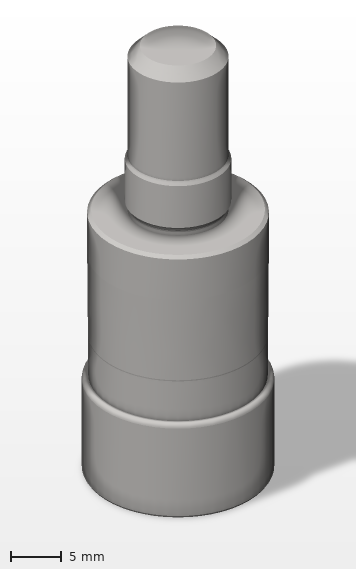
import cadquery as cq

overall_height = 49.0
cap_height = 10.9
step_bottom = 15.5
step_top = 15.65
taper_top = 25.0
sleeve_top = 30.0
neck_bottom = 30.35
neck_top = 30.5
neck_shoulder = 30.75
collar_bottom = 31.05
collar_top = 35.9

cap_diameter = 19.05
sleeve_diameter = 18.0
lower_sleeve_diameter = 17.8
taper_middle_diameter = 17.9
taper_end_diameter = 17.85
collar_diameter = 10.55
stud_diameter = 10.0
neck_diameter = 9.7

cap_radius = cap_diameter / 2
sleeve_radius = sleeve_diameter / 2
lower_sleeve_radius = lower_sleeve_diameter / 2
taper_middle_radius = taper_middle_diameter / 2
taper_end_radius = taper_end_diameter / 2
collar_radius = collar_diameter / 2
stud_radius = stud_diameter / 2
neck_radius = neck_diameter / 2
spindle_radius = stud_radius

cap_fillet = 0.5
base_chamfer_width = 0.15
base_chamfer_height = 0.25
sleeve_chamfer_width = 0.4
sleeve_chamfer_height = 0.3
collar_chamfer_height = 0.45
stud_chamfer = 1.22


def revolve_about_z(outline):
    """Turn a closed half-outline in the XZ plane a full circle about Z."""
    return outline.revolve(360, (0, 0, 0), (0, 1, 0))


def make_core():
    """Foot cap, spindle inside the sleeve, undercut neck, collar and stud in one piece."""
    outline = (
        cq.Workplane("XZ")
        .lineTo(cap_radius - base_chamfer_width, 0)
        .lineTo(cap_radius, base_chamfer_height)
        .lineTo(cap_radius, cap_height - cap_fillet)
        .radiusArc((cap_radius - cap_fillet, cap_height), -cap_fillet)
        .lineTo(spindle_radius, cap_height)
        .lineTo(spindle_radius, sleeve_top)
        .lineTo(neck_radius, neck_bottom)
        .lineTo(neck_radius, neck_top)
        .lineTo(stud_radius, neck_shoulder)
        .lineTo(collar_radius, collar_bottom)
        .lineTo(collar_radius, collar_top)
        .lineTo(stud_radius, collar_top + collar_chamfer_height)
        .lineTo(stud_radius, overall_height - stud_chamfer)
        .lineTo(stud_radius - stud_chamfer, overall_height)
        .lineTo(0, overall_height)
        .close()
    )
    return revolve_about_z(outline)


def make_sleeve():
    """Ring around the spindle, with a slight taper down to a narrower lower band."""
    taper_middle = (step_top + taper_top) / 2
    outline = (
        cq.Workplane("XZ")
        .moveTo(spindle_radius, cap_height)
        .lineTo(lower_sleeve_radius, cap_height)
        .lineTo(lower_sleeve_radius, step_bottom)
        .lineTo(taper_end_radius, step_top)
        .threePointArc((taper_middle_radius, taper_middle), (sleeve_radius, taper_top))
        .lineTo(sleeve_radius, sleeve_top - sleeve_chamfer_height)
        .lineTo(sleeve_radius - sleeve_chamfer_width, sleeve_top)
        .lineTo(spindle_radius, sleeve_top)
        .close()
    )
    return revolve_about_z(outline)


core = make_core()
sleeve = make_sleeve()
result = cq.Compound.makeCompound([core.val(), sleeve.val()])